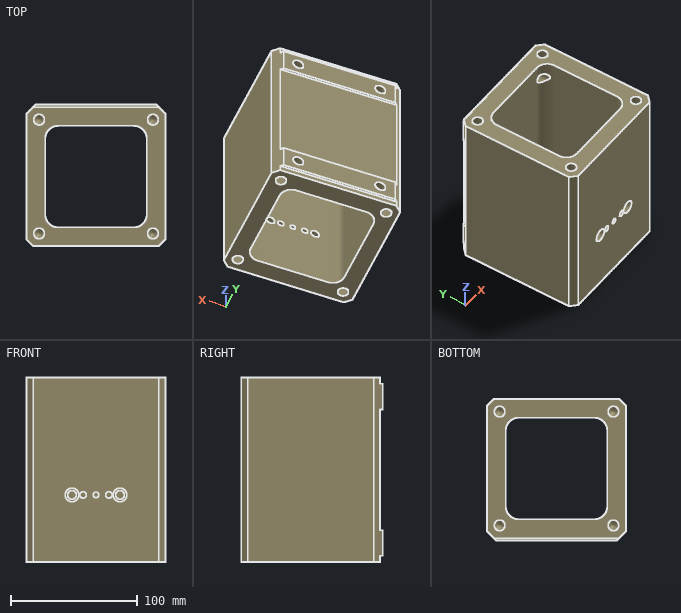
import cadquery as cq
import math

height = 146.0
width = 110.0
corner_chamfer = 5.3
cavity_width = 80.0
cavity_radius = 10.0
wall = (width - cavity_width) / 2

strip_thickness = 2.0
strip_height = 20.5
strip_end_gap = 5.0
strip_middle = strip_end_gap + strip_height / 2
strip_levels = (strip_middle, height - strip_middle)

mount_spacing = 70.1
mount_diameter = 8.8

end_hole_spacing = 90.0
end_hole_diameter = 8.5
end_hole_depth = 29.2
drill_point_angle = 118.0

row_level = 53.1
bolt_offset = 19.0
bolt_diameter = 6.9
bolt_head_diameter = 10.8
bolt_head_depth = 6.0
pin_offset = 10.2
pin_diameter = 5.1
center_hole_diameter = 4.4

front = -width / 2
back = width / 2


def hole_along_y(x, z, start, diameter, depth):
    """Cylinder running toward +Y from the plane Y = start."""
    axis = cq.Vector(0, 1, 0)
    return cq.Workplane(cq.Solid.makeCylinder(diameter / 2, depth, cq.Vector(x, start, z), axis))


def drilled_hole():
    """Downward drill cutter with a conical point, its mouth at Z = 0."""
    radius = end_hole_diameter / 2
    point_half_angle = math.radians(drill_point_angle / 2)
    tip_depth = end_hole_depth + radius / math.tan(point_half_angle)
    profile = [(0, 0), (radius, 0), (radius, -end_hole_depth), (0, -tip_depth)]
    return cq.Workplane("XZ").polyline(profile).close().revolve(360, (0, 0), (0, 1))


body = cq.Workplane("XY").rect(width, width).extrude(height).edges("|Z").chamfer(corner_chamfer)
strip_root = width - 2 * corner_chamfer
strip_top = strip_root - 2 * strip_thickness
strip_outline = [
    (-strip_root / 2, back),
    (strip_root / 2, back),
    (strip_top / 2, back + strip_thickness),
    (-strip_top / 2, back + strip_thickness),
]
strip = cq.Workplane("XY").polyline(strip_outline).close().extrude(strip_height)
for level in strip_levels:
    body = body.union(strip.translate((0, 0, level - strip_height / 2)))

cavity = cq.Workplane("XY").rect(cavity_width, cavity_width).extrude(height)
body = body.cut(cavity.edges("|Z").fillet(cavity_radius))

mount_start = cavity_width / 2 - cavity_radius
mount_length = back + strip_thickness - mount_start
for level in strip_levels:
    for side in (-1, 1):
        x = side * mount_spacing / 2
        body = body.cut(hole_along_y(x, level, mount_start, mount_diameter, mount_length))

top_drill = drilled_hole().translate((0, 0, height))
bottom_drill = top_drill.mirror("XY", (0, 0, height / 2))
for side_x in (-1, 1):
    for side_y in (-1, 1):
        place = (side_x * end_hole_spacing / 2, side_y * end_hole_spacing / 2, 0)
        body = body.cut(top_drill.translate(place)).cut(bottom_drill.translate(place))

body = body.cut(hole_along_y(0, row_level, front, center_hole_diameter, wall))
for side in (-1, 1):
    body = body.cut(hole_along_y(side * pin_offset, row_level, front, pin_diameter, wall))
    body = body.cut(hole_along_y(side * bolt_offset, row_level, front, bolt_diameter, wall))
    body = body.cut(hole_along_y(side * bolt_offset, row_level, front, bolt_head_diameter, bolt_head_depth))

result = body